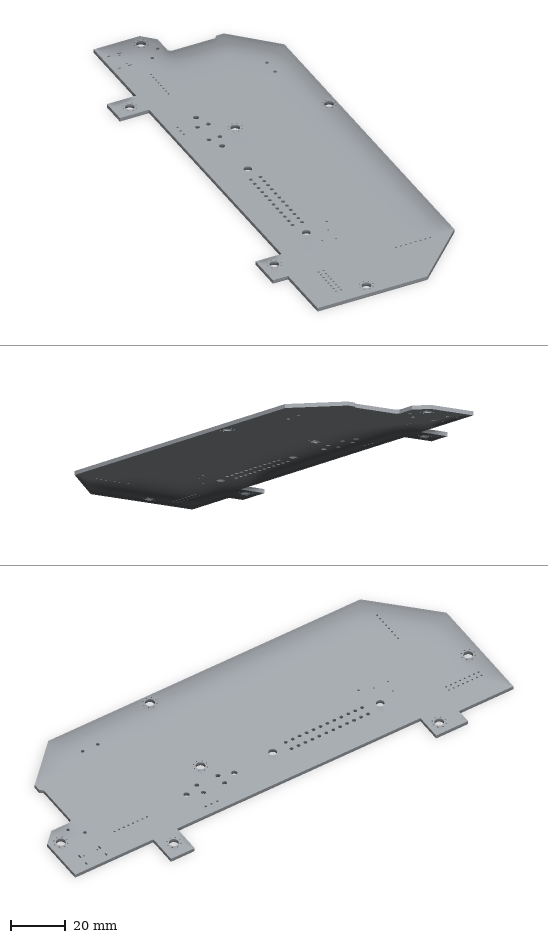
import cadquery as cq
import math

length = 186.8
width = 75.3
thickness = 1.51

bottom_edge_y = 12.0
left_tab_x = (33.8, 44.0)
right_tab_x = (149.4, 163.2)
right_tab_y = 1.3
right_edge_bottom_y = 7.5
right_chamfer = 22.8
shoulder_x = 12.5
top_left_chamfer = 16.5
shoulder_bottom_y = 55.7
waist_x = 13.8
ear_top_y = 35.7
ear_chamfer = 4.9
corner_cut = 1.0

mount_diameter = 3.5
via_diameter = 0.5
via_circle_radius = 2.6
via_count = 8
mount_centers = [
    (4.7, 29.0), (39.2, 6.5), (68.7, 34.5), (70.8, 71.9), (154.0, 6.5), (181.7, 30.0),
]

main_pins_per_row = 12
main_row_span = 33.0
main_pin_pitch = main_row_span / (main_pins_per_row - 1)
main_pin_diameter = 1.4
main_row_y = (24.0, 28.0)
main_first_pin_x = 101.4
main_peg_x = (94.7, 141.2)
main_peg_y = 26.3
main_peg_diameter = 3.2

square_pin_x = (62.2, 71.3)
square_pin_y = (22.5, 26.9)
square_pin_diameter = 1.75
square_peg_x = (56.4, 77.1)
square_peg_y = 24.8
square_peg_diameter = 2.2

header_pins = 8
header_span = 14.0
header_pitch = header_span / (header_pins - 1)
header_diameter = 0.7
left_header_start = (24.0, 23.0)
upright_header_start = (164.7, 51.0)
double_header_start = (166.0, 18.5)

trio_pins = 3
trio_span = 5.0
trio_pitch = trio_span / (trio_pins - 1)
trio_diameter = 0.85
trio_start = (59.0, 15.9)

usb_center_x = 10.8
usb_slot_spacing = 8.5
usb_slot_width = 0.6
usb_rear_slot = (19.0, 1.7)
usb_front_slot = (14.8, 1.3)
usb_peg_spacing = 5.8
usb_peg_y = 18.5
usb_peg_diameter = 0.65

single_holes = {
    1.3: [(36.6, 64.0), (43.1, 64.0), (10.3, 32.9), (14.8, 28.4)],
    0.85: [(138.2, 36.2)],
    0.65: [(143.5, 34.2), (149.5, 34.2), (148.5, 29.1)],
}


def row(start, count, pitch, upright=False):
    """Evenly spaced points along X, or along Y when upright."""
    x, y = start
    if upright:
        return [(x, y + i * pitch) for i in range(count)]
    return [(x + i * pitch, y) for i in range(count)]


def grid(xs, ys):
    """Every pairing of the given X and Y places."""
    return [(x, y) for x in xs for y in ys]


def board():
    outline = [
        (0, bottom_edge_y),
        (left_tab_x[0], bottom_edge_y),
        (left_tab_x[0], 0),
        (left_tab_x[1], 0),
        (left_tab_x[1], bottom_edge_y),
        (right_tab_x[0], bottom_edge_y),
        (right_tab_x[0], right_tab_y),
        (right_tab_x[1], right_tab_y),
        (right_tab_x[1], right_edge_bottom_y),
        (length, right_edge_bottom_y),
        (length, width - right_chamfer),
        (length - right_chamfer, width),
        (shoulder_x + top_left_chamfer, width),
        (shoulder_x, width - top_left_chamfer),
        (shoulder_x, shoulder_bottom_y),
        (waist_x, shoulder_bottom_y - corner_cut),
        (waist_x, ear_top_y + corner_cut),
        (waist_x - corner_cut, ear_top_y),
        (ear_chamfer, ear_top_y),
        (0, ear_top_y - ear_chamfer),
    ]
    return cq.Workplane("XY").polyline(outline).close().extrude(thickness)


def drills(centers, diameter):
    return cq.Workplane("XY").pushPoints(centers).circle(diameter / 2).extrude(thickness)


def slots(centers, slot_length):
    """Round-ended slots that run along Y."""
    outlines = cq.Workplane("XY").pushPoints(centers).slot2D(slot_length, usb_slot_width, 90)
    return outlines.extrude(thickness)


def via_ring(center):
    """Centres of the vias around one mounting hole."""
    angles = [2 * math.pi * i / via_count for i in range(via_count)]
    return [
        (center[0] + via_circle_radius * math.cos(a), center[1] + via_circle_radius * math.sin(a))
        for a in angles
    ]


def mirrored_x(spacing):
    """Two X places, evenly to either side of the USB socket centre."""
    return (usb_center_x - spacing / 2, usb_center_x + spacing / 2)


result = board()

result = result.cut(drills(mount_centers, mount_diameter))
for mount_center in mount_centers:
    result = result.cut(drills(via_ring(mount_center), via_diameter))

for row_y in main_row_y:
    main_pins = row((main_first_pin_x, row_y), main_pins_per_row, main_pin_pitch)
    result = result.cut(drills(main_pins, main_pin_diameter))
result = result.cut(drills(grid(main_peg_x, [main_peg_y]), main_peg_diameter))

result = result.cut(drills(grid(square_pin_x, square_pin_y), square_pin_diameter))
result = result.cut(drills(grid(square_peg_x, [square_peg_y]), square_peg_diameter))

double_header_second = (double_header_start[0], double_header_start[1] + header_pitch)
for start in (left_header_start, double_header_start, double_header_second):
    result = result.cut(drills(row(start, header_pins, header_pitch), header_diameter))
upright_pins = row(upright_header_start, header_pins, header_pitch, upright=True)
result = result.cut(drills(upright_pins, header_diameter))

result = result.cut(drills(row(trio_start, trio_pins, trio_pitch), trio_diameter))

for slot_y, slot_length in (usb_rear_slot, usb_front_slot):
    result = result.cut(slots(grid(mirrored_x(usb_slot_spacing), [slot_y]), slot_length))
result = result.cut(drills(grid(mirrored_x(usb_peg_spacing), [usb_peg_y]), usb_peg_diameter))

for diameter, centers in single_holes.items():
    result = result.cut(drills(centers, diameter))